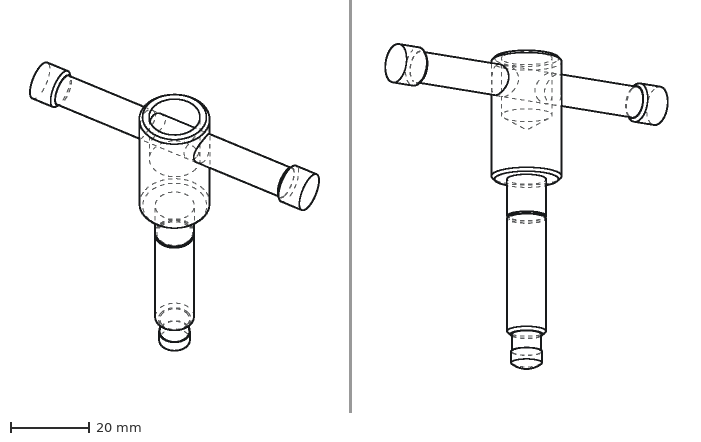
import cadquery as cq
import math

total_height = 82.0
hub_diameter = 18.0
hub_length = 32.0
edge_chamfer = 0.8
bore_diameter = 13.0
bore_depth = 15.0
drill_point_angle = 118.0
spindle_diameter = 10.0
spindle_end_z = 9.0
groove_z = 39.7
groove_width = 0.6
groove_depth = 0.4
neck_diameter = 7.55
nose_diameter = 7.95
nose_top_z = 4.5
nose_dome_height = 1.5

bar_length = 80.0
bar_diameter = 8.0
bar_drop = 7.0
cap_diameter = 10.0
cap_length = 7.0

hub_bottom_z = total_height - hub_length
bar_z = total_height - bar_drop


def make_bar(length, diameter):
    """Round bar along X, centred on the hub axis."""
    return (
        cq.Workplane("YZ", origin=(-length / 2, 0, bar_z))
        .circle(diameter / 2)
        .extrude(length)
    )


def make_spindle():
    """Nose, neck and grooved spindle, revolved about Z."""
    nose_r = nose_diameter / 2
    neck_r = neck_diameter / 2
    spindle_r = spindle_diameter / 2
    dome_r = (nose_r**2 + nose_dome_height**2) / (2 * nose_dome_height)
    half_angle = math.asin(nose_r / dome_r) / 2
    dome_mid = (dome_r * math.sin(half_angle), dome_r * (1 - math.cos(half_angle)))
    profile = (
        cq.Workplane("XZ")
        .moveTo(0, 0)
        .threePointArc(dome_mid, (nose_r, nose_dome_height))
        .lineTo(nose_r, nose_top_z)
        .lineTo(neck_r, nose_top_z)
        .lineTo(neck_r, spindle_end_z)
        .lineTo(spindle_r - edge_chamfer, spindle_end_z)
        .lineTo(spindle_r, spindle_end_z + edge_chamfer)
        .lineTo(spindle_r, groove_z)
        .lineTo(spindle_r - groove_depth, groove_z)
        .lineTo(spindle_r - groove_depth, groove_z + groove_width)
        .lineTo(spindle_r, groove_z + groove_width)
        .lineTo(spindle_r, hub_bottom_z)
        .lineTo(0, hub_bottom_z)
        .close()
    )
    return profile.revolve(360, (0, 0), (0, 1))


def make_bore():
    """Blind bore with a conical drill point, open at the hub top."""
    bore_r = bore_diameter / 2
    bore_end_z = total_height - bore_depth
    point_depth = bore_r / math.tan(math.radians(drill_point_angle / 2))
    return (
        cq.Workplane("XZ")
        .moveTo(0, bore_end_z - point_depth)
        .lineTo(bore_r, bore_end_z)
        .lineTo(bore_r, total_height)
        .lineTo(0, total_height)
        .close()
        .revolve(360, (0, 0), (0, 1))
    )


def make_hub_spindle():
    """Bored hub on its spindle, with a cross hole that fits the bar."""
    hub = (
        cq.Workplane("XY", origin=(0, 0, hub_bottom_z))
        .circle(hub_diameter / 2)
        .extrude(hub_length)
        .edges("%CIRCLE")
        .chamfer(edge_chamfer)
    )
    cross_hole = make_bar(hub_diameter, bar_diameter)
    return hub.union(make_spindle()).cut(make_bore()).cut(cross_hole)


def make_cap(side):
    """End cap of the bar on the given side of X, chamfered on its inner rim."""
    inner_face = "<X" if side > 0 else ">X"
    return (
        cq.Workplane("YZ", origin=(side * bar_length / 2, 0, bar_z))
        .circle(cap_diameter / 2)
        .extrude(-side * cap_length)
        .faces(inner_face)
        .edges()
        .chamfer(edge_chamfer)
    )


def make_cross_bar():
    """Bar with an enlarged cap at each end, one solid."""
    cross_bar = make_bar(bar_length, bar_diameter)
    for side in (-1, 1):
        cross_bar = cross_bar.union(make_cap(side))
    return cross_bar


hub_spindle = make_hub_spindle()
cross_bar = make_cross_bar()

result = cq.Compound.makeCompound([hub_spindle.val(), cross_bar.val()])